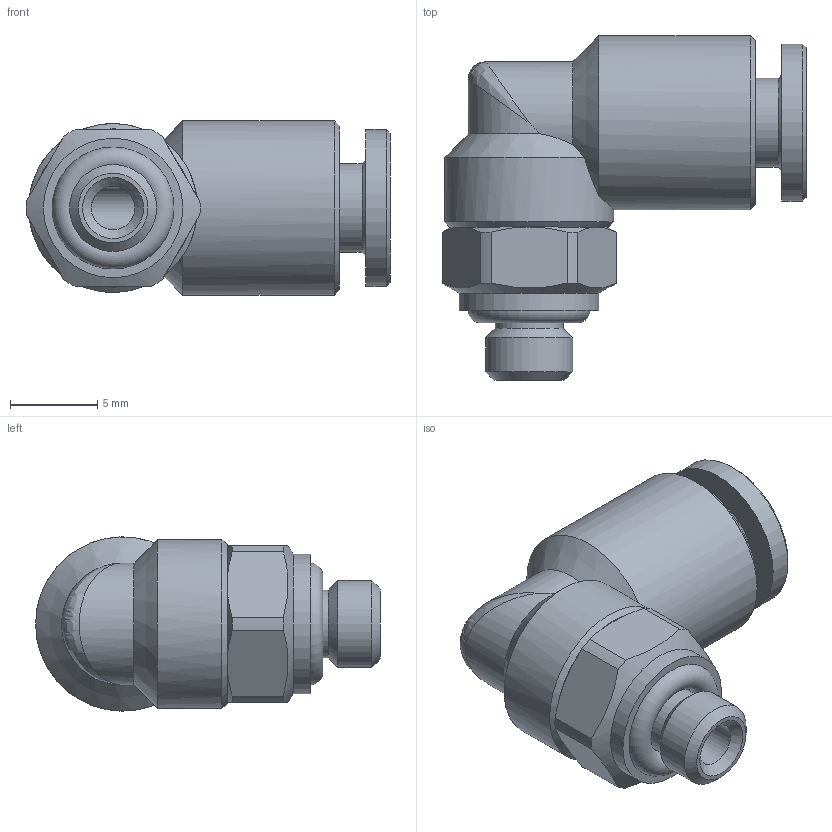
import cadquery as cq
import math


elbow_radius = 3.5
elbow_corner_fillet = 1.0

sleeve_radius = 5.0
sleeve_cone_start = 2.5
sleeve_end = 13.0
sleeve_chamfer = 0.3
collar_neck_radius = 2.55
collar_radius = 4.5
collar_start = 14.5
collar_end = 15.9
collar_chamfer = 0.2
collar_neck_flare = 0.2

body_radius = 4.85
body_shoulder = 2.0
body_end = 6.0
body_chamfer = 0.3

hex_across_flats = 9.0
hex_corner_radius = 5.0
hex_top_radius = 4.5
hex_end = 9.8
hex_chamfer_slope = math.tan(math.radians(30))

seat_radius = 4.0
seat_end = 10.8
ring_outer_radius = 3.5
ring_section_radius = 0.75
ring_end = 11.5
neck_radius = 1.95
neck_end = 11.8
stem_radius = 2.5
stem_end = 14.8
stem_chamfer = 0.5

bore_radius = 1.25
bore_mouth_radius = 1.75
bore_mouth_depth = 0.5


def revolve_about_x(profile):
    """Solid of revolution from (x, radius) points whose ends close on the X axis."""
    return cq.Workplane("XY").polyline(profile).close().revolve(360, (0, 0), (1, 0))


def revolve_about_stem(profile):
    """Solid of revolution from (radius, distance) points, distance measured along -Y."""
    points = [(radius, -distance) for radius, distance in profile]
    return cq.Workplane("XY").polyline(points).close().revolve(360, (0, 0), (0, 1))


def make_elbow():
    """Two equal cylinders meeting at a right angle, with the outer mitre edge rounded."""
    socket_leg = cq.Workplane("YZ").circle(elbow_radius).extrude(sleeve_cone_start)
    stem_leg = cq.Workplane("XZ").circle(elbow_radius).extrude(body_shoulder)

    corner = cq.Workplane("YZ").circle(elbow_radius).extrude(-elbow_radius)
    corner = corner.intersect(cq.Workplane("XZ").circle(elbow_radius).extrude(-elbow_radius))
    corner = corner.edges("%ELLIPSE").fillet(elbow_corner_fillet)
    return socket_leg.union(stem_leg).union(corner)


def make_socket():
    """Coned sleeve with the release collar standing out of its open end."""
    return revolve_about_x([
        (sleeve_cone_start, 0),
        (sleeve_cone_start, elbow_radius),
        (sleeve_cone_start + sleeve_radius - elbow_radius, sleeve_radius),
        (sleeve_end - sleeve_chamfer, sleeve_radius),
        (sleeve_end, sleeve_radius - sleeve_chamfer),
        (sleeve_end, collar_neck_radius),
        (collar_start - collar_neck_flare, collar_neck_radius),
        (collar_start, collar_neck_radius + collar_neck_flare),
        (collar_start, collar_radius),
        (collar_end - collar_chamfer, collar_radius),
        (collar_end, collar_radius - collar_chamfer),
        (collar_end, 0),
    ])


def make_body():
    """Swivel body: a cone up to the elbow, a cylinder and a chamfered lower edge."""
    cone_start = body_shoulder - (body_radius - elbow_radius)
    return revolve_about_stem([
        (0, cone_start),
        (elbow_radius, cone_start),
        (body_radius, body_shoulder),
        (body_radius, body_end - body_chamfer),
        (body_radius - body_chamfer, body_end),
        (0, body_end),
    ])


def make_hexagon():
    """Hexagon with rounded corners, its ends trimmed by 30 degree cones."""
    across_corners = hex_across_flats / math.cos(math.radians(30))
    prism = cq.Workplane("XZ").workplane(offset=body_end)
    prism = prism.polygon(6, across_corners).extrude(hex_end - body_end)
    top_chamfer = (hex_corner_radius - hex_top_radius) * hex_chamfer_slope
    bottom_chamfer = (hex_corner_radius - seat_radius) * hex_chamfer_slope
    envelope = revolve_about_stem([
        (0, body_end),
        (hex_top_radius, body_end),
        (hex_corner_radius, body_end + top_chamfer),
        (hex_corner_radius, hex_end - bottom_chamfer),
        (seat_radius, hex_end),
        (0, hex_end),
    ])
    return prism.intersect(envelope)


def make_stem():
    """Seal seat, undercut neck and chamfered plain thread cylinder."""
    return revolve_about_stem([
        (0, hex_end),
        (seat_radius, hex_end),
        (seat_radius, seat_end),
        (neck_radius, seat_end),
        (neck_radius, neck_end),
        (stem_radius, neck_end + stem_radius - neck_radius),
        (stem_radius, stem_end - stem_chamfer),
        (stem_radius - stem_chamfer, stem_end),
        (0, stem_end),
    ])


def make_seal_ring():
    """O-ring around the neck, partly sunk in the seat."""
    center_radius = ring_outer_radius - ring_section_radius
    center_distance = ring_end - ring_section_radius
    section = cq.Workplane("XY").moveTo(center_radius, -center_distance).circle(ring_section_radius)
    return section.revolve(360, (0, 0), (0, 1))


def make_passage():
    """Stem bore with a countersunk mouth, meeting a cross bore open at the collar end."""
    stem_bore = revolve_about_stem([
        (0, 0),
        (bore_radius, 0),
        (bore_radius, stem_end - bore_mouth_depth),
        (bore_mouth_radius, stem_end),
        (0, stem_end),
    ])
    cross_bore = cq.Workplane("YZ").workplane(offset=-bore_radius).circle(bore_radius)
    return stem_bore.union(cross_bore.extrude(bore_radius + collar_end))


result = make_elbow()
for feature in (make_socket(), make_body(), make_hexagon(), make_stem(), make_seal_ring()):
    result = result.union(feature)
result = result.cut(make_passage())